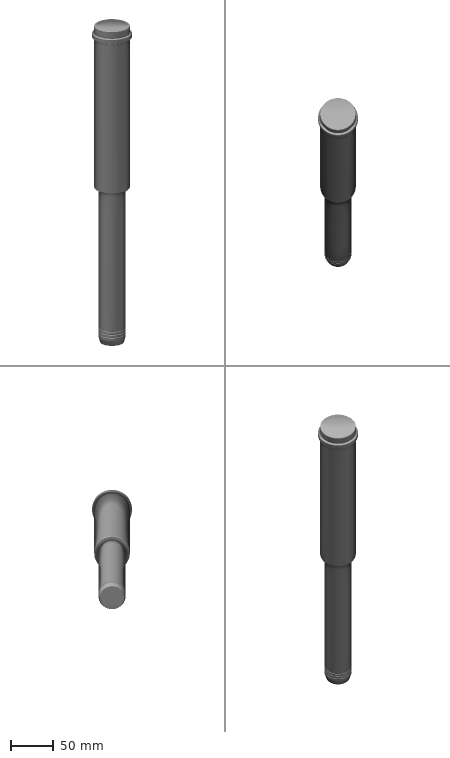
import cadquery as cq

total_length = 400.0

body_radius = 42.0 / 2
body_length = 205.0
body_chamfer = 0.5
body_bottom = total_length - body_length

collar_radius = 47.0 / 2
collar_thickness = 6.0
collar_chamfer = 0.5
collar_top_offset = 9.0
collar_top = total_length - collar_top_offset
collar_bottom = collar_top - collar_thickness
relief_width = 1.0
relief_depth = 0.25

shank_radius = 32.0 / 2
lead_in_length = 7.0
tip_radius = 14.25
tip_chamfer = 0.25

groove_count = 3
groove_pitch = 3.7
groove_radius = 0.5
lowest_groove_height = 10.8


def turned(outline):
    """Revolve a closed (radius, height) outline around the Z axis."""
    points = [(-radius, height) for radius, height in outline]
    profile = cq.Workplane("XZ").polyline(points).close()
    return profile.revolve(360, (0, 0, 0), (0, 1, 0))


def chamfered_disc(radius, bottom, top, chamfer):
    """Solid cylinder with both end edges chamfered."""
    return turned([
        (0, bottom),
        (radius - chamfer, bottom),
        (radius, bottom + chamfer),
        (radius, top - chamfer),
        (radius - chamfer, top),
        (0, top),
    ])


def relief_ring(bottom):
    """Ring of material to remove from the body surface next to the collar."""
    inner_radius = body_radius - relief_depth
    top = bottom + relief_width
    return turned([
        (inner_radius, bottom),
        (body_radius, bottom),
        (body_radius, top),
        (inner_radius, top),
    ])


def make_body():
    body = chamfered_disc(body_radius, body_bottom, total_length, body_chamfer)
    for relief_bottom in (collar_bottom - relief_width, collar_top):
        body = body.cut(relief_ring(relief_bottom))
    collar = chamfered_disc(collar_radius, collar_bottom, collar_top, collar_chamfer)
    return body.union(collar)


def groove_ring(height):
    """Torus of material to remove, centred on the shank surface."""
    section = cq.Workplane("XZ").center(-shank_radius, height).circle(groove_radius)
    return section.revolve(360, (shank_radius, 0, 0), (shank_radius, 1, 0))


def make_shank():
    shank = turned([
        (0, 0),
        (tip_radius - tip_chamfer, 0),
        (tip_radius, tip_chamfer),
        (shank_radius, lead_in_length),
        (shank_radius, body_bottom),
        (0, body_bottom),
    ])
    for index in range(groove_count):
        shank = shank.cut(groove_ring(lowest_groove_height + index * groove_pitch))
    return shank


result = make_body().union(make_shank())